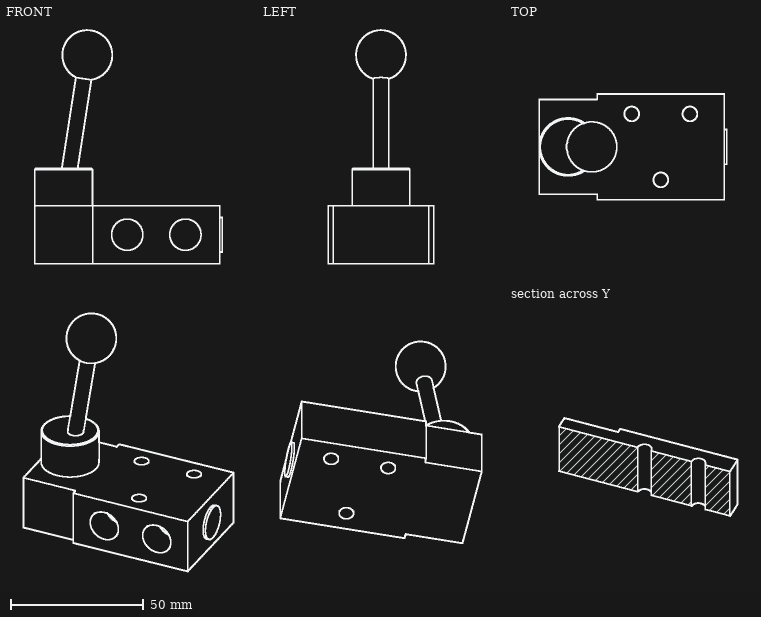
import cadquery as cq
import math

body_length = 70.0
body_width = 40.0
body_height = 22.0
neck_length = 21.9
neck_width = 36.0
mid_height = body_height / 2

turret_diameter = 21.9
turret_x = turret_diameter / 2
turret_height = 14.05
turret_chamfer = 0.4

total_height = 88.4
ball_diameter = 19.0
rod_diameter = 6.0
lever_tilt = 8.8
pivot_z = 21.1
ball_z = total_height - ball_diameter / 2
lever_length = (ball_z - pivot_z) / math.cos(math.radians(lever_tilt))

column_x = 35.0
column_pitch = 22.0
mount_diameter = 5.5
mount_y = 12.5
port_diameter = 11.85
port_depth = 13.3

plug_diameter = 13.2
plug_length = 1.0


def make_body():
    neck = cq.Workplane("XY").box(body_length, neck_width, body_height, centered=(False, True, False))
    block_length = body_length - neck_length
    block = (
        cq.Workplane("XY")
        .box(block_length, body_width, body_height, centered=(False, True, False))
        .translate((neck_length, 0, 0))
    )
    return neck.union(block)


def make_turret():
    return (
        cq.Workplane("XY", origin=(turret_x, 0, body_height))
        .circle(turret_diameter / 2)
        .extrude(turret_height)
        .faces(">Z")
        .chamfer(turret_chamfer)
    )


def make_lever():
    """Rod and ball built upright from the pivot, then tilted about the Y direction."""
    rod = cq.Workplane("XY").circle(rod_diameter / 2).extrude(lever_length)
    ball = cq.Workplane("XY").sphere(ball_diameter / 2).translate((0, 0, lever_length))
    upright = rod.union(ball)
    return upright.rotate((0, 0, 0), (0, 1, 0), lever_tilt).translate((turret_x, 0, pivot_z))


def make_plug():
    return (
        cq.Workplane("YZ", origin=(body_length, 0, mid_height))
        .circle(plug_diameter / 2)
        .extrude(plug_length)
    )


def make_mount_holes():
    """Two holes on the +Y side and one midway between them on the -Y side."""
    positions = [
        (column_x, mount_y),
        (column_x + column_pitch, mount_y),
        (column_x + column_pitch / 2, -mount_y),
    ]
    return cq.Workplane("XY").pushPoints(positions).circle(mount_diameter / 2).extrude(body_height)


def make_ports():
    """Blind round ports entering from the -Y face."""
    positions = [(column_x, mid_height), (column_x + column_pitch, mid_height)]
    return (
        cq.Workplane("XZ", origin=(0, -body_width / 2, 0))
        .pushPoints(positions)
        .circle(port_diameter / 2)
        .extrude(-port_depth)
    )


body = make_body().cut(make_mount_holes()).cut(make_ports())
result = body.union(make_turret()).union(make_lever()).union(make_plug())